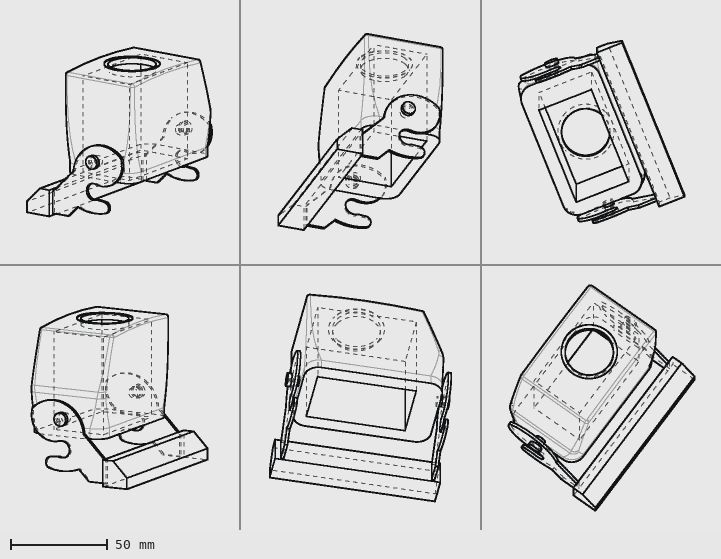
import math

import cadquery as cq


HOOD_LENGTH = 72.6
HOOD_WIDTH = 43.1
HOOD_TOP = 55.0
BASE_HEIGHT = 5.6
BASE_CORNER_RADIUS = 7.5
TOP_CORNER_RADIUS = 1.6
TOP_EDGE_RADIUS = 1.5
FRONT_LEAN = 0.3
BACK_SLOPE_ANGLE = 20.0
BACK_SLOPE_START = 23.4
BACK_BEND_HALF_HEIGHT = 1.7
ROOF_RADIUS = 302.8
ROOF_ALLOWANCE = 0.9

FRONT_STEPS = 8
LOWER_BACK_STEPS = 3
BEND_STEPS = 2
SLOPE_STEPS = 5

ENTRY_Y = -6.0
ENTRY_RADIUS = 12.4
SEAT_RADIUS = 14.4
SEAT_DEPTH = 0.4
ROOF_THICKNESS = 3.65
WALL_THICKNESS = 7.0
CAVITY_BACK_Y = 22.6

PIVOT_Z = 10.0
PEG_RADIUS = 2.6
PEG_HEAD_RADIUS = 3.5
PEG_END_Y = 42.5
PEG_ROOT_DEPTH = 1.7

BAR_LENGTH = 87.0
BAR_BACK_X = -25.8
BAR_WIDTH = 14.1
BAR_BOTTOM = -22.6
BAR_HEIGHT = 14.1
BAR_CHAMFER_WIDTH = 8.2
ARM_THICKNESS = 1.6
ARM_OUTER_Y = 40.45
ARM_INNER_Y = ARM_OUTER_Y - ARM_THICKNESS

ARM_BOTTOM = -21.6
ARM_SHOULDER_Z = 3.1
LOBE_CENTRE = (5.0, 10.5)
LOBE_RADIUS = 12.9
CROWN_CENTRE = (5.0, 1.6)
CROWN_RADIUS = 17.75
HOOK_RADIUS = 27.6
HOOK_START_X = -10.1
NOTCH_Z = -6.1
LIP_RADIUS = 1.8
LIP_ANGLE = -68.0
TIP_RADIUS = 3.1
TIP_ANGLE = -75.0


def polar(centre, radius, angle):
    """Point at the given distance and angle (radians) from a centre."""
    return (centre[0] + radius * math.cos(angle), centre[1] + radius * math.sin(angle))


def direction(start, end):
    """Angle in radians of the line from start to end."""
    return math.atan2(end[1] - start[1], end[0] - start[0])



def corner_radius(z):
    """Radius of the upright corners: wide at the base, easing to a small radius at the top."""
    drop = max(0.0, (HOOD_TOP - z) / (HOOD_TOP - BASE_HEIGHT))
    return TOP_CORNER_RADIUS + (BASE_CORNER_RADIUS - TOP_CORNER_RADIUS) * drop**3


def back_wall_y(z):
    """Y of the +Y wall: upright, then a rounded bend, then a straight slope."""
    slope = math.tan(math.radians(BACK_SLOPE_ANGLE))
    above_bend = z - (BACK_SLOPE_START - BACK_BEND_HALF_HEIGHT)
    if above_bend <= 0:
        inset = 0.0
    elif above_bend < 2 * BACK_BEND_HALF_HEIGHT:
        inset = slope * above_bend**2 / (4 * BACK_BEND_HALF_HEIGHT)
    else:
        inset = slope * (z - BACK_SLOPE_START)
    return HOOD_LENGTH / 2 - inset


def front_wall_y(z):
    """Y of the slightly leaning -Y wall."""
    return -HOOD_LENGTH / 2 + FRONT_LEAN * (z - BASE_HEIGHT) / (HOOD_TOP - BASE_HEIGHT)


def hood_section(z):
    """Horizontal rounded-rectangle section of the hood above its base."""
    front = front_wall_y(z)
    back = back_wall_y(z)
    section = cq.Sketch().rect(HOOD_WIDTH, back - front).vertices().fillet(corner_radius(z))
    return section.moved(cq.Location(cq.Vector(0, (front + back) / 2, z)))


def hood_tier(bottom, top, steps):
    """Smooth loft between two heights."""
    heights = [bottom + (top - bottom) * i / steps for i in range(steps + 1)]
    return cq.Workplane("XY").placeSketch(*[hood_section(z) for z in heights]).loft()


def below_roof():
    """Everything under the roof, which is arched along Y with its crest over the cable entry."""
    return (
        cq.Workplane("YZ")
        .center(ENTRY_Y, HOOD_TOP - ROOF_RADIUS)
        .circle(ROOF_RADIUS)
        .extrude(HOOD_WIDTH, both=True)
    )


def half_space(side):
    """Block that covers the +Y (side 1) or -Y (side -1) half of the hood."""
    return cq.Workplane("XY").box(2 * HOOD_WIDTH, HOOD_LENGTH, 3 * HOOD_TOP).translate(
        (0, side * HOOD_LENGTH / 2, 0)
    )


def hood_shell():
    """Solid outside of the hood: one smooth front half, and a back half in three tiers around the bend."""
    base = (
        cq.Workplane("XY")
        .rect(HOOD_WIDTH, HOOD_LENGTH)
        .extrude(BASE_HEIGHT)
        .edges("|Z")
        .fillet(BASE_CORNER_RADIUS)
    )
    bend_bottom = BACK_SLOPE_START - BACK_BEND_HALF_HEIGHT
    bend_top = BACK_SLOPE_START + BACK_BEND_HALF_HEIGHT
    loft_top = HOOD_TOP + ROOF_ALLOWANCE
    front = hood_tier(BASE_HEIGHT, loft_top, FRONT_STEPS).intersect(half_space(-1))
    back = (
        hood_tier(BASE_HEIGHT, bend_bottom, LOWER_BACK_STEPS)
        .union(hood_tier(bend_bottom, bend_top, BEND_STEPS))
        .union(hood_tier(bend_top, loft_top, SLOPE_STEPS))
        .intersect(half_space(1))
    )
    upper = front.union(back).intersect(below_roof())
    upper = upper.faces(">Z").edges().fillet(TOP_EDGE_RADIUS)
    return base.union(upper, clean=False)


def cavity():
    """Box-shaped inside of the hood, open at the bottom."""
    front = WALL_THICKNESS - HOOD_LENGTH / 2
    return cq.Workplane("XY").box(
        HOOD_WIDTH - 2 * WALL_THICKNESS,
        CAVITY_BACK_Y - front,
        HOOD_TOP - ROOF_THICKNESS,
        centered=(True, False, False),
    ).translate((0, front, 0))


def cable_entry():
    """Round hole through the roof, with a shallow flat seat around it."""
    hole = cq.Workplane("XY").center(0, ENTRY_Y).circle(ENTRY_RADIUS).extrude(HOOD_TOP)
    seat = (
        cq.Workplane("XY", origin=(0, ENTRY_Y, HOOD_TOP - SEAT_DEPTH))
        .circle(SEAT_RADIUS)
        .extrude(2 * SEAT_DEPTH)
    )
    return hole.union(seat)


def y_cylinder(radius, start, end):
    """Cylinder on the pivot axis between two Y positions."""
    return cq.Workplane(
        cq.Solid.makeCylinder(radius, abs(end - start), cq.Vector(0, start, PIVOT_Z),
                              cq.Vector(0, end - start, 0))
    )


def pivot_peg(side):
    """Headed peg on the +Y (side 1) or -Y (side -1) wall."""
    root = HOOD_LENGTH / 2 - PEG_ROOT_DEPTH
    shank = y_cylinder(PEG_RADIUS, side * root, side * ARM_OUTER_Y)
    head = y_cylinder(PEG_HEAD_RADIUS, side * ARM_OUTER_Y, side * PEG_END_Y)
    return shank.union(head)


def make_hood():
    """Hollow hood with its cable entry and the two pivot pegs."""
    hood = hood_shell().cut(cavity(), clean=False).cut(cable_entry(), clean=False)
    for side in (-1, 1):
        hood = hood.union(pivot_peg(side), clean=False)
    return hood



def make_bar():
    """Handle bar with a bevelled upper outer edge."""
    outer_x = BAR_BACK_X - BAR_WIDTH
    top = BAR_BOTTOM + BAR_HEIGHT
    return (
        cq.Workplane("XZ")
        .moveTo(BAR_BACK_X, BAR_BOTTOM)
        .lineTo(BAR_BACK_X, top)
        .lineTo(outer_x + BAR_CHAMFER_WIDTH, top)
        .lineTo(outer_x, top - BAR_CHAMFER_WIDTH)
        .lineTo(outer_x, BAR_BOTTOM)
        .close()
        .extrude(BAR_LENGTH / 2, both=True)
    )


def arm_outline():
    """Arm outline: 45-degree shank, round lobe over the pivot, notch, and hook below it."""
    pivot = (0.0, PIVOT_Z)

    rise = ARM_SHOULDER_Z - CROWN_CENTRE[1]
    shoulder = (CROWN_CENTRE[0] - math.sqrt(CROWN_RADIUS**2 - rise**2), ARM_SHOULDER_Z)
    offset = LOBE_CENTRE[1] - CROWN_CENTRE[1]
    peak_rise = (offset**2 + CROWN_RADIUS**2 - LOBE_RADIUS**2) / (2 * offset)
    peak = (
        CROWN_CENTRE[0] + math.sqrt(CROWN_RADIUS**2 - peak_rise**2),
        CROWN_CENTRE[1] + peak_rise,
    )
    crown_top = polar(CROWN_CENTRE, CROWN_RADIUS, math.pi / 2)

    notch = (0.0, NOTCH_Z)
    notch_radius = math.dist(notch, LOBE_CENTRE) - LOBE_RADIUS
    notch_start = polar(notch, notch_radius, direction(notch, LOBE_CENTRE))
    notch_side = polar(notch, notch_radius, math.pi)
    lip_angle = math.radians(LIP_ANGLE)
    notch_end = polar(notch, notch_radius, lip_angle)
    lip = polar(notch, notch_radius + LIP_RADIUS, lip_angle)

    tip_angle = math.radians(TIP_ANGLE)
    tip = polar(pivot, HOOK_RADIUS - TIP_RADIUS, tip_angle)
    edge_normal = direction(lip, tip) + math.acos((LIP_RADIUS - TIP_RADIUS) / math.dist(lip, tip))
    lip_end = polar(lip, LIP_RADIUS, edge_normal)
    lip_middle = polar(lip, LIP_RADIUS, (lip_angle + math.pi + edge_normal) / 2)
    tip_start = polar(tip, TIP_RADIUS, edge_normal)
    tip_middle = polar(tip, TIP_RADIUS, (tip_angle + edge_normal) / 2)
    tip_end = polar(pivot, HOOK_RADIUS, tip_angle)

    hook_bottom = polar(pivot, HOOK_RADIUS, -math.pi / 2)
    hook_start = (HOOK_START_X, PIVOT_Z - math.sqrt(HOOK_RADIUS**2 - HOOK_START_X**2))
    heel = (HOOK_START_X - (hook_start[1] - ARM_BOTTOM), ARM_BOTTOM)
    shank_top = (BAR_BACK_X, shoulder[1] - (shoulder[0] - BAR_BACK_X))

    return (
        cq.Workplane("XZ")
        .moveTo(BAR_BACK_X, ARM_BOTTOM)
        .lineTo(*shank_top)
        .lineTo(*shoulder)
        .threePointArc(crown_top, peak)
        .threePointArc(polar(LOBE_CENTRE, LOBE_RADIUS, 0), notch_start)
        .threePointArc(notch_side, notch_end)
        .threePointArc(lip_middle, lip_end)
        .lineTo(*tip_start)
        .threePointArc(tip_middle, tip_end)
        .threePointArc(hook_bottom, hook_start)
        .lineTo(*heel)
        .close()
    )


def make_arm(side):
    """Arm plate at the +Y (side 1) or -Y (side -1) end, with a hole for the pivot peg."""
    near_y = -ARM_INNER_Y if side < 0 else ARM_OUTER_Y
    plate = arm_outline().extrude(ARM_THICKNESS).translate((0, near_y, 0))
    return plate.cut(y_cylinder(PEG_RADIUS, side * ARM_INNER_Y, side * ARM_OUTER_Y))


def make_lever():
    """Handle bar carrying an arm at each end."""
    lever = make_bar()
    for side in (-1, 1):
        lever = lever.union(make_arm(side))
    return lever


hood = make_hood()
lever = make_lever()
result = cq.Compound.makeCompound([hood.val(), lever.val()])